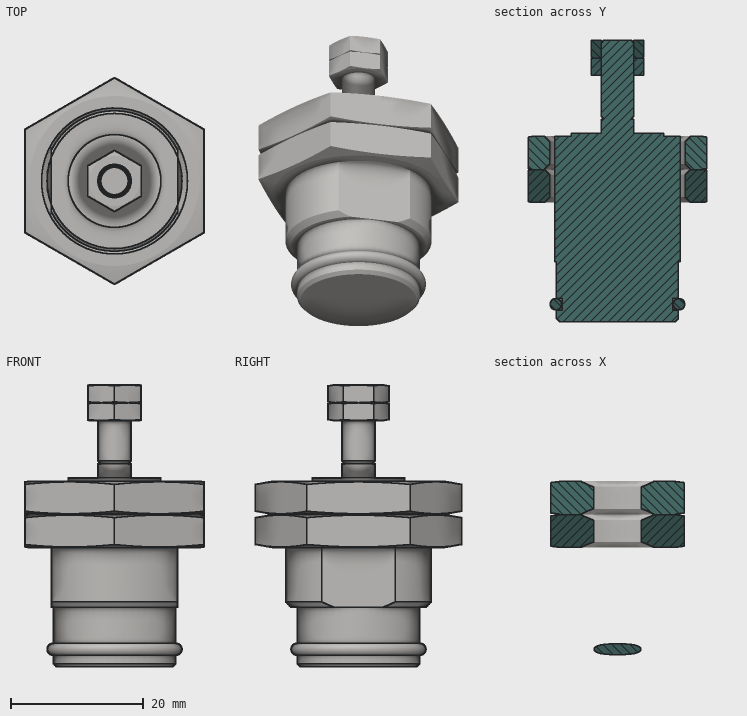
import cadquery as cq
import math

neck_diameter = 18.5
foot_chamfer = 0.5
barrel_diameter = 22.0
barrel_core_diameter = 20.35
barrel_flats_width = 19.0
barrel_bottom = 9.0
collar_diameter = 14.0
collar_height = 0.5
stem_diameter = 5.0
stem_core_diameter = 4.12
stem_shoulder_height = 2.1

ring_outer_diameter = 20.35
ring_section_radius = 0.9
ring_height = 2.68

nuts_per_pair = 2
large_nut_width = 27.0
large_nut_height = 5.0
large_nuts_bottom = 17.98
small_nut_width = 8.0
small_nut_height = 2.68
nut_face_ratio = 0.95
nut_chamfer_angle = 10

total_height = 42.5
barrel_chamfer = (barrel_diameter - barrel_core_diameter) / 2
barrel_top = large_nuts_bottom + nuts_per_pair * large_nut_height
collar_top = barrel_top + collar_height
stem_chamfer = (stem_diameter - stem_core_diameter) / 2
stem_shoulder_top = collar_top + stem_shoulder_height
small_nuts_bottom = total_height - nuts_per_pair * small_nut_height
ring_center_radius = ring_outer_diameter / 2 - ring_section_radius
groove_floor_radius = ring_center_radius - ring_section_radius


def cylinder(diameter, bottom, top):
    return cq.Workplane("XY").workplane(offset=bottom).circle(diameter / 2).extrude(top - bottom)


def make_seal_ring():
    return (
        cq.Workplane("XZ")
        .center(ring_center_radius, ring_height)
        .circle(ring_section_radius)
        .revolve(360, (-ring_center_radius, 0), (-ring_center_radius, 1))
    )


def make_neck():
    neck = cylinder(neck_diameter, 0, barrel_bottom).faces("<Z").chamfer(foot_chamfer)
    groove_bottom = ring_height - ring_section_radius
    groove_top = ring_height + ring_section_radius
    groove = cylinder(neck_diameter, groove_bottom, groove_top).cut(
        cylinder(2 * groove_floor_radius, groove_bottom, groove_top)
    )
    return neck.cut(groove)


def make_barrel():
    barrel = cylinder(barrel_diameter, barrel_bottom, barrel_top).faces("<Z or >Z").chamfer(barrel_chamfer)
    between_flats = (
        cq.Workplane("XY")
        .workplane(offset=barrel_bottom)
        .rect(barrel_flats_width, 2 * barrel_diameter)
        .extrude(barrel_top - barrel_bottom)
    )
    return barrel.intersect(between_flats)


def make_stem():
    shoulder = cylinder(stem_diameter, collar_top, stem_shoulder_top)
    thread = cylinder(stem_diameter, stem_shoulder_top, total_height).faces("<Z or >Z").chamfer(stem_chamfer)
    return shoulder.union(thread)


def make_body():
    collar = cylinder(collar_diameter, barrel_top, collar_top)
    return make_neck().union(make_barrel()).union(collar).union(make_stem())


def make_nut(width, height, core_diameter, thread_diameter, bottom, body):
    """Hexagon nut with corners on Y, both faces chamfered and countersunk, fitted to the body thread."""
    corner_radius = width / math.sqrt(3)
    face_radius = nut_face_ratio * width / 2
    corner_drop = (corner_radius - face_radius) * math.tan(math.radians(nut_chamfer_angle))
    core_radius = core_diameter / 2
    thread_radius = thread_diameter / 2
    countersink = thread_radius - core_radius
    turned_profile = [
        (core_radius, countersink),
        (thread_radius, 0),
        (face_radius, 0),
        (corner_radius, corner_drop),
        (corner_radius, height - corner_drop),
        (face_radius, height),
        (thread_radius, height),
        (core_radius, height - countersink),
    ]
    turned_blank = cq.Workplane("XZ").polyline(turned_profile).close().revolve(360, (0, 0), (0, 1))
    hexagon = cq.Workplane("XY").polygon(6, 2 * corner_radius).extrude(height)
    hexagon = hexagon.rotate((0, 0, 0), (0, 0, 1), 30)
    return hexagon.intersect(turned_blank).translate((0, 0, bottom)).cut(body)


body = make_body()
seal_ring = make_seal_ring()

large_nuts = []
small_nuts = []
for index in range(nuts_per_pair):
    large_bottom = large_nuts_bottom + index * large_nut_height
    large_nuts.append(
        make_nut(large_nut_width, large_nut_height, barrel_core_diameter, barrel_diameter, large_bottom, body)
    )
    small_bottom = small_nuts_bottom + index * small_nut_height
    small_nuts.append(
        make_nut(small_nut_width, small_nut_height, stem_core_diameter, stem_diameter, small_bottom, body)
    )

result = cq.Compound.makeCompound(
    [body.val(), seal_ring.val()] + [nut.val() for nut in large_nuts + small_nuts]
)